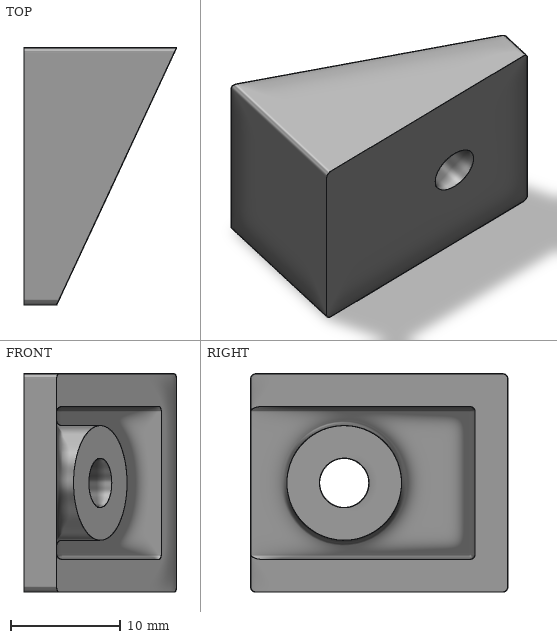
import cadquery as cq
import math

slope_angle = math.radians(25)
depth = 23.57
plate_thickness = 3.0
height = 20.0
edge_radius = 0.5

width = plate_thickness + depth * math.tan(slope_angle)

wall_thickness = 3.0
pocket_height = height - 2 * wall_thickness
pocket_back = depth - wall_thickness
pocket_overrun = 5.0

boss_diameter = 10.5
hole_diameter = 4.5
boss_rise = 4.0
hole_y = boss_rise / math.tan(slope_angle)
hole_z = height / 2


def wedge_body():
    """Prism with the four corners along X rounded."""
    outline = [(0, 0), (plate_thickness, 0), (width, depth), (0, depth)]
    prism = cq.Workplane("XY").polyline(outline).close().extrude(height)
    blank = (
        cq.Workplane("XY")
        .box(width, depth, height, centered=False)
        .edges("|X")
        .fillet(edge_radius)
    )
    return prism.intersect(blank)


def cylinder_along_x(diameter, start_x, length):
    """Cylinder on the hole axis."""
    return (
        cq.Workplane("YZ", origin=(start_x, hole_y, hole_z))
        .circle(diameter / 2)
        .extrude(length)
    )


def pocket_cutter():
    """Pocket volume around the boss, rounded along the floor and up the back corners."""
    cutter_width = width - plate_thickness + pocket_overrun
    block = cq.Workplane("XY", origin=(plate_thickness, -pocket_overrun, wall_thickness)).box(
        cutter_width, pocket_back + pocket_overrun, pocket_height, centered=False
    )
    block = block.faces(">Y").edges("|X").fillet(edge_radius)
    boss = cylinder_along_x(boss_diameter, plate_thickness, cutter_width)
    return block.cut(boss).faces("<X").edges().fillet(edge_radius)


body = wedge_body().cut(pocket_cutter())
result = body.cut(cylinder_along_x(hole_diameter, 0, width))